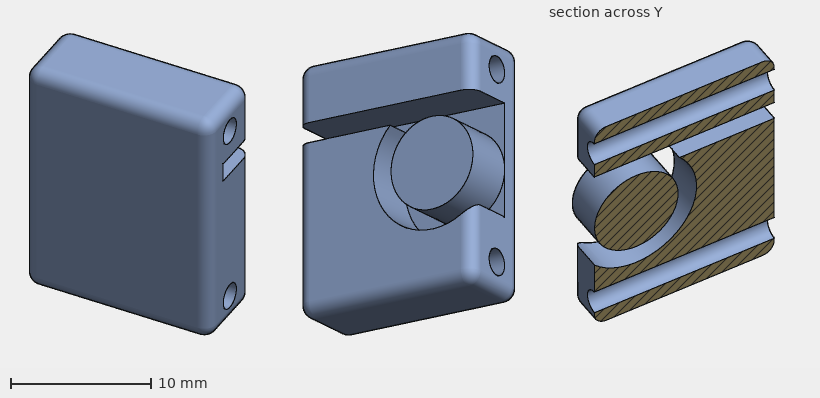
import cadquery as cq

WIDTH = 15.0
DEPTH = 6.1
HEIGHT = 19.0
EDGE_RADIUS = 1.0

POCKET_DEPTH = 4.1
POCKET_DIAMETER = 10.0
BOSS_DIAMETER = 7.0

HOLE_DIAMETER = 2.0
HOLE_SPACING = 14.5
HOLE_FROM_FRONT = 3.0

left_x = -WIDTH / 2
front_y = -DEPTH / 2
back_y = DEPTH / 2
floor_y = back_y - POCKET_DEPTH
boss_x = left_x + BOSS_DIAMETER / 2


def pocket_cylinder(diameter):
    """Cylinder on the boss axis, from the pocket floor to the +Y face."""
    return (
        cq.Workplane("XZ", origin=(boss_x, back_y, 0))
        .circle(diameter / 2)
        .extrude(POCKET_DEPTH)
    )


def channel():
    """Straight channel through the full width, tangent to boss and pocket."""
    bottom_z = BOSS_DIAMETER / 2
    top_z = POCKET_DIAMETER / 2
    return cq.Workplane("XY").box(
        WIDTH, POCKET_DEPTH, top_z - bottom_z, centered=(True, False, False)
    ).translate((0, floor_y, bottom_z))


def cross_holes():
    """Two holes running through the full width, above and below the pocket."""
    return (
        cq.Workplane("YZ", origin=(left_x, front_y + HOLE_FROM_FRONT, 0))
        .pushPoints([(0, -HOLE_SPACING / 2), (0, HOLE_SPACING / 2)])
        .circle(HOLE_DIAMETER / 2)
        .extrude(WIDTH)
    )


block = cq.Workplane("XY").box(WIDTH, DEPTH, HEIGHT).edges().fillet(EDGE_RADIUS)

result = (
    block.cut(pocket_cylinder(POCKET_DIAMETER))
    .cut(channel())
    .union(pocket_cylinder(BOSS_DIAMETER))
    .cut(cross_holes())
)